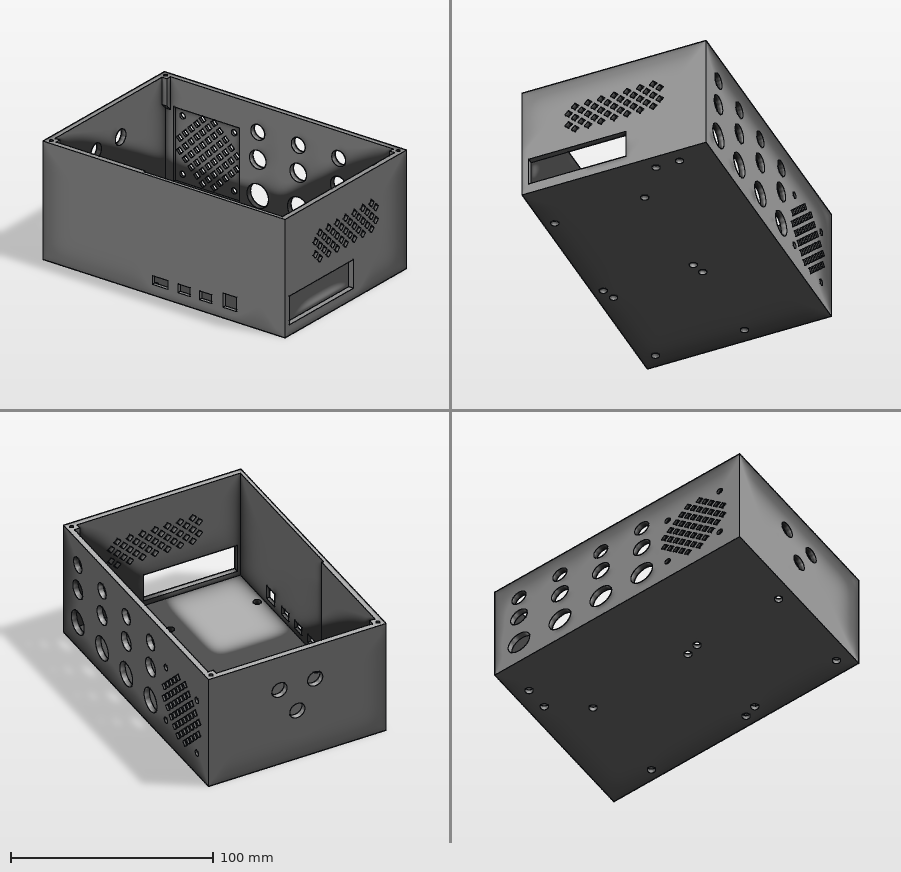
import cadquery as cq
import math

length = 150.0
width = 100.0
height = 65.0
wall = 3.0
floor = 3.0

thin_wall = 2.0
thin_start = 61.0

post_size = 6.0
post_height = 15.0
post_screw_diameter = 2.0
post_screw_inset = 3.0
post_corners = [(-1, -1), (-1, 1), (1, 1)]

mount_hole_diameter = 4.0
left_board_x = [8.0, 57.9]
left_board_y = [8.0, 56.4]
right_board_x = [65.0, 123.0]
right_board_y = [5.5, 54.5]
side_pair_x = 142.0
side_pair_y = [69.3, 82.0]

connector_sill = 5.8
connectors = [(67.8, 9.6, 4.8), (83.7, 7.5, 4.8), (97.0, 7.5, 4.8), (111.6, 8.4, 7.8)]

panel_first_x = 60.0
panel_pitch = 25.0
panel_columns = 4
panel_rows = [(15.0, 13.2), (35.0, 10.2), (50.0, 8.5)]

side_hole_diameter = 8.5
side_hole_offset = 10.0
side_hole_upper_z = 45.0
side_hole_lower_z = 29.1

vent_side = 2.8

side_vent_z = 39.8
side_vent_rows = 5
side_vent_long_row = 8
side_vent_length = 49.5

vent_half_step = side_vent_length / (side_vent_long_row - 1) / 2

window_width = 52.8
window_bottom = connector_sill
window_top = 21.6

fan_x = 28.2
fan_z = 28.6
fan_seat_size = 40.8
fan_seat_depth = 1.5
fan_screw_spacing = 32.0
fan_screw_diameter = 3.3
grille_reach = 3


def block(x_range, y_range, z_range):
    """Axis-aligned block between the given limits."""
    sizes = [limits[1] - limits[0] for limits in (x_range, y_range, z_range)]
    corner = (x_range[0], y_range[0], z_range[0])
    return cq.Workplane("XY").box(*sizes, centered=False).translate(corner)


def shell():
    """Open box whose front wall is thinner along its right-hand stretch."""
    cavity_z = (floor, height)
    inner_right = length - wall
    inner_back = width - wall
    cavity = block((wall, inner_right), (wall, inner_back), cavity_z)
    thinning = block((thin_start, inner_right), (thin_wall, wall), cavity_z)
    return block((0, length), (0, width), (0, height)).cut(cavity).cut(thinning)


def corner_post(side_x, side_y):
    """Post in one corner; its underside slopes down to the front or back wall."""
    foot = height - post_height
    slope_run = post_size - wall
    profile = (
        cq.Workplane("YZ")
        .moveTo(0, height)
        .lineTo(post_size, height)
        .lineTo(post_size, foot)
        .lineTo(wall, foot - slope_run)
        .lineTo(0, foot - slope_run)
        .close()
    )
    post = profile.extrude(post_size)
    if side_x > 0:
        post = post.mirror("YZ").translate((length, 0, 0))
    if side_y > 0:
        post = post.mirror("XZ").translate((0, width, 0))
    return post


def post_screw_holes():
    """Blind screw holes down the posts from the rim."""
    points = [
        (
            post_screw_inset if side_x < 0 else length - post_screw_inset,
            post_screw_inset if side_y < 0 else width - post_screw_inset,
        )
        for side_x, side_y in post_corners
    ]
    rim = cq.Workplane("XY").workplane(offset=height)
    return rim.pushPoints(points).circle(post_screw_diameter / 2).extrude(-post_height)


def mount_holes():
    """Through holes in the floor for two boards and a pair beside the right wall."""
    points = [(x, y) for x in left_board_x for y in left_board_y]
    points += [(x, y) for x in right_board_x for y in right_board_y]
    points += [(side_pair_x, y) for y in side_pair_y]
    return cq.Workplane("XY").pushPoints(points).circle(mount_hole_diameter / 2).extrude(floor)


def connector_cutouts():
    """Rectangular openings through the front wall, all on one sill."""
    cutouts = cq.Workplane("XY")
    for left, opening_width, opening_height in connectors:
        cutouts = cutouts.add(
            block(
                (left, left + opening_width),
                (0, wall),
                (connector_sill, connector_sill + opening_height),
            )
        )
    return cutouts.combine()


def back_wall_plane():
    """Plane on the outer back face, with X and Z as its axes; inward is positive."""
    return cq.Workplane("XZ", origin=(0, width, 0))


def panel_holes():
    """Rows of round holes through the back wall."""
    holes = cq.Workplane("XY")
    columns = [panel_first_x + panel_pitch * i for i in range(panel_columns)]
    for row_z, diameter in panel_rows:
        points = [(x, row_z) for x in columns]
        holes = holes.add(back_wall_plane().pushPoints(points).circle(diameter / 2).extrude(wall))
    return holes.combine()


def side_holes():
    """Three round holes through the left wall."""
    middle = width / 2
    points = [
        (middle - side_hole_offset, side_hole_upper_z),
        (middle + side_hole_offset, side_hole_upper_z),
        (middle, side_hole_lower_z),
    ]
    return cq.Workplane("YZ").pushPoints(points).circle(side_hole_diameter / 2).extrude(wall)


def vent_openings(plane, points):
    """Squares standing on a corner, cut through a wall from the given plane."""
    diagonal = vent_side * math.sqrt(2)
    return plane.pushPoints(points).polygon(4, diagonal).extrude(wall)


def side_vent():
    """Staggered rows of openings in the right wall; every other row is one shorter."""
    points = []
    for row in range(side_vent_rows):
        count = side_vent_long_row - (row + 1) % 2
        row_z = side_vent_z + (row - (side_vent_rows - 1) / 2) * vent_half_step
        for i in range(count):
            points.append((width / 2 + (2 * i - count + 1) * vent_half_step, row_z))
    return vent_openings(cq.Workplane("YZ", origin=(length - wall, 0, 0)), points)


def side_window():
    """Rectangular opening through the right wall, below the vent."""
    middle = sum(right_board_y) / 2
    y_range = (middle - window_width / 2, middle + window_width / 2)
    return block((length - wall, length), y_range, (window_bottom, window_top))


def fan_mount():
    """Square seat, four screw holes and a grille without corner openings."""
    inner_back = width - wall
    half = fan_seat_size / 2
    seat = block(
        (fan_x - half, fan_x + half),
        (inner_back, inner_back + fan_seat_depth),
        (fan_z - half, fan_z + half),
    )
    centre = back_wall_plane().center(fan_x, fan_z)
    screws = (
        centre.rect(fan_screw_spacing, fan_screw_spacing, forConstruction=True)
        .vertices()
        .circle(fan_screw_diameter / 2)
        .extrude(wall)
    )
    steps = range(-grille_reach, grille_reach + 1)
    points = [
        ((i + j) * vent_half_step, (i - j) * vent_half_step)
        for i in steps
        for j in steps
        if abs(i) + abs(j) < 2 * grille_reach
    ]
    grille = vent_openings(back_wall_plane().center(fan_x, fan_z), points)
    return seat.union(screws).union(grille)


result = shell()
for side_x, side_y in post_corners:
    result = result.union(corner_post(side_x, side_y))

result = (
    result.cut(post_screw_holes())
    .cut(mount_holes())
    .cut(connector_cutouts())
    .cut(panel_holes())
    .cut(side_holes())
    .cut(side_vent())
    .cut(side_window())
    .cut(fan_mount())
)